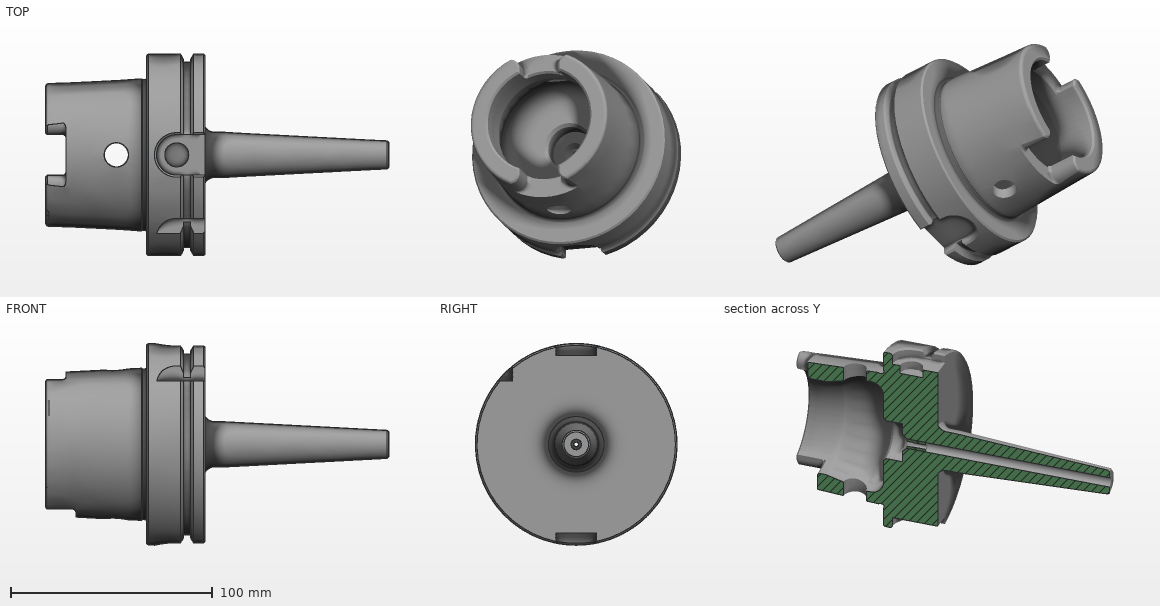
import cadquery as cq
import math


flange_radius = 50.0
flange_length = 29.0
flange_chamfer = 0.8

groove_center = 20.0
groove_floor_radius = 45.9
groove_floor_half_width = 1.78
groove_mouth_half_width = 3.32
groove_flank_angle = 60.0

taper_length = 50.0
taper_tip_radius = 35.4
taper_slope = 1 / 20
tip_fillet = 1.7

relief_start = -2.5
relief_lead = 0.5
relief_depth = 0.3
relief_recess = 0.3
relief_recess_radius = 39.8
relief_fillet = 1.4

neck_radius = 11.2
neck_root_radius = 5.5
neck_root_rise = 2.5
neck_straight_end = 38.8
neck_tip_radius = 7.0
neck_tip_chamfer = 0.8
total_length = 170.0
neck_tip = total_length - taper_length

bore_radius = 26.5
bore_chamfer = 1.0
bore_straight_length = 19.5
clamping_radius = 31.5
clamping_bevel_length = 20.4
bore_floor = 0.0
bore_floor_fillet = 6.6

seat_radius = 10.7
seat_chamfer = 1.5
seat_depth = 10.0
funnel_radius = 5.0
central_radius = 2.5
funnel_length = funnel_radius - central_radius
central_start = bore_floor + seat_depth + funnel_length

drive_slot_width = 20.0
top_drive_slot_depth = 10.0
bottom_drive_slot_depth = 15.0
drive_slot_wall_top = 27.2
drive_slot_flare = 5.0
drive_slot_corner_fillet = 1.5
drive_slot_edge_chamfer = 0.8

cross_hole_radius = 6.0
cross_hole_x = -15.0

keyway_width = 20.0
keyway_x = 15.0
keyway_floor = 44.0
keyway_chamfer = 1.0
chip_hole_radius = 6.0
chip_hole_depth = 4.5

notch_wall = 31.5
notch_cutter_radius = 10.0
notch_x = 14.8

groove_flat_distance = 45.7
groove_flat_direction = 135.0

screw_length = 10.2
screw_bore_radius = 1.1
screw_socket_width = 2.5
screw_socket_depth = 3.4

clearance = 68.0


def make_revolved_body():
    """Taper, flange and neck turned in one profile, with the cavity left solid."""
    relief_radius = taper_tip_radius + (taper_length + relief_start) * taper_slope
    relief_floor = relief_radius - relief_depth
    flank_drop = (groove_mouth_half_width - groove_floor_half_width) * math.tan(
        math.radians(groove_flank_angle)
    )
    flank_end_radius = flange_radius - flank_drop
    root_run = math.sqrt(neck_root_radius**2 - (neck_root_radius - neck_root_rise) ** 2)
    root_half_angle = math.asin(root_run / neck_root_radius) / 2
    root_end = flange_length + root_run
    root_middle = (
        root_end - neck_root_radius * math.sin(root_half_angle),
        neck_radius + neck_root_radius * (1 - math.cos(root_half_angle)),
    )
    profile = (
        cq.Workplane("XZ")
        .moveTo(-taper_length, 0)
        .lineTo(-taper_length, taper_tip_radius)
        .lineTo(relief_start, relief_radius)
        .lineTo(relief_start + relief_lead, relief_floor)
        .lineTo(relief_recess - relief_fillet, relief_floor)
        .radiusArc((relief_recess, relief_floor + relief_fillet), -relief_fillet)
        .lineTo(0, relief_recess_radius)
        .lineTo(0, flange_radius - flange_chamfer)
        .lineTo(flange_chamfer, flange_radius)
        .lineTo(groove_center - groove_mouth_half_width, flange_radius)
        .lineTo(groove_center - groove_floor_half_width, flank_end_radius)
        .lineTo(groove_center - groove_floor_half_width, groove_floor_radius)
        .lineTo(groove_center + groove_floor_half_width, groove_floor_radius)
        .lineTo(groove_center + groove_floor_half_width, flank_end_radius)
        .lineTo(groove_center + groove_mouth_half_width, flange_radius)
        .lineTo(flange_length - flange_chamfer, flange_radius)
        .lineTo(flange_length, flange_radius - flange_chamfer)
        .lineTo(flange_length, neck_radius + neck_root_rise)
        .threePointArc(root_middle, (root_end, neck_radius))
        .lineTo(neck_straight_end, neck_radius)
        .lineTo(neck_tip - neck_tip_chamfer, neck_tip_radius)
        .lineTo(neck_tip, neck_tip_radius - neck_tip_chamfer)
        .lineTo(neck_tip, 0)
        .close()
    )
    body = profile.revolve(360, (0, 0, 0), (1, 0, 0))
    return body.faces("<X").edges().fillet(tip_fillet)


def make_cavity():
    """Stepped bore from the taper's open end to the neck's tip."""
    seat_floor = bore_floor + seat_depth
    bevel_start = -taper_length + bore_straight_length
    fillet_center = (bore_floor - bore_floor_fillet, clamping_radius - bore_floor_fillet)
    fillet_middle = (
        fillet_center[0] + bore_floor_fillet * math.sqrt(0.5),
        fillet_center[1] + bore_floor_fillet * math.sqrt(0.5),
    )
    return (
        cq.Workplane("XZ")
        .moveTo(-taper_length, 0)
        .lineTo(-taper_length, bore_radius + bore_chamfer)
        .lineTo(-taper_length + bore_chamfer, bore_radius)
        .lineTo(bevel_start, bore_radius)
        .lineTo(bevel_start + clamping_bevel_length, clamping_radius)
        .lineTo(fillet_center[0], clamping_radius)
        .threePointArc(fillet_middle, (bore_floor, fillet_center[1]))
        .lineTo(bore_floor, seat_radius + seat_chamfer)
        .lineTo(bore_floor + seat_chamfer, seat_radius)
        .lineTo(seat_floor, seat_radius)
        .lineTo(seat_floor, funnel_radius)
        .lineTo(central_start, central_radius)
        .lineTo(neck_tip, central_radius)
        .lineTo(neck_tip, 0)
        .close()
        .revolve(360, (0, 0, 0), (1, 0, 0))
    )


def make_slot_outline(x, widening):
    """Wire of the drive slot at a given x, with walls that flare outward at the top."""
    half_width = drive_slot_width / 2 + widening
    flare_y = drive_slot_width / 2 + drive_slot_flare
    flare_z = drive_slot_wall_top + drive_slot_flare - widening
    flare_radius = drive_slot_flare - widening
    arc_shift = flare_radius * (1 - math.sqrt(0.5))
    arc_y = half_width + arc_shift
    arc_z = flare_z - arc_shift
    return (
        cq.Workplane("YZ", origin=(x, 0, 0))
        .moveTo(-half_width, 0)
        .lineTo(-half_width, drive_slot_wall_top)
        .threePointArc((-arc_y, arc_z), (-flare_y, flare_z))
        .lineTo(-clearance, flare_z)
        .lineTo(-clearance, clearance)
        .lineTo(clearance, clearance)
        .lineTo(clearance, flare_z)
        .lineTo(flare_y, flare_z)
        .threePointArc((arc_y, arc_z), (half_width, drive_slot_wall_top))
        .lineTo(half_width, 0)
        .close()
    )


def make_drive_slot(depth):
    """Slot cutter for the top of the taper's end, with a bevelled mouth and filleted floor."""
    slot_floor = depth - taper_length
    slot = make_slot_outline(-taper_length, 0).extrude(depth)
    slot = slot.faces(">X").edges("not <Z").fillet(drive_slot_corner_fillet)
    mouth = cq.Workplane(
        cq.Solid.makeLoft(
            [
                make_slot_outline(-taper_length, drive_slot_edge_chamfer).val(),
                make_slot_outline(-taper_length + drive_slot_edge_chamfer, 0).val(),
            ],
            True,
        )
    )
    floor_bevel = cq.Workplane(
        cq.Solid.makeCone(
            bore_radius + bore_chamfer,
            bore_radius,
            bore_chamfer,
            cq.Vector(slot_floor, 0, 0),
            cq.Vector(1, 0, 0),
        )
    ).intersect(
        cq.Workplane("XY", origin=(slot_floor, 0, 0)).rect(clearance, drive_slot_width).extrude(clearance)
    )
    return slot.union(mouth).union(floor_bevel)


def make_keyway():
    """Material removed from the top of the flange by the chamfered, round-ended keyway."""
    floor_plane = cq.Workplane("XY", origin=(keyway_x, 0, keyway_floor))
    straight_run = (
        floor_plane.center(clearance / 2, 0).rect(clearance, keyway_width).extrude(clearance)
    )
    channel = floor_plane.circle(keyway_width / 2).extrude(clearance).union(straight_run)
    disc = cq.Workplane("YZ").circle(flange_radius).extrude(flange_length)
    rim_height = math.sqrt(flange_radius**2 - (keyway_width / 2) ** 2)
    rim = cq.selectors.BoxSelector(
        (0, -keyway_width, rim_height - keyway_chamfer),
        (flange_length - keyway_chamfer, keyway_width, flange_radius + keyway_chamfer),
    )
    keyed_disc = disc.cut(channel).edges(rim).chamfer(keyway_chamfer)
    return disc.cut(keyed_disc)


def make_chip_hole():
    return (
        cq.Workplane("XY", origin=(keyway_x, 0, keyway_floor))
        .circle(chip_hole_radius)
        .extrude(-chip_hole_depth)
    )


def make_groove_flat():
    """Cutter that levels the groove floor on both sides of the notch."""
    width = 2 * groove_floor_half_width
    return (
        cq.Workplane("XY", origin=(groove_center, 0, groove_flat_distance))
        .rect(width, groove_floor_radius)
        .extrude(groove_floor_radius - groove_flat_distance)
        .rotate((0, 0, 0), (1, 0, 0), groove_flat_direction - 90)
    )


def make_notch():
    """Corner cutter with one wall, one floor and a round end."""
    return (
        cq.Workplane("XY", origin=(0, 0, notch_wall))
        .moveTo(notch_x, -notch_wall)
        .lineTo(clearance, -notch_wall)
        .lineTo(clearance, -notch_wall - clearance)
        .lineTo(notch_x - notch_cutter_radius, -notch_wall - clearance)
        .lineTo(notch_x - notch_cutter_radius, -notch_wall - notch_cutter_radius)
        .radiusArc((notch_x, -notch_wall), notch_cutter_radius)
        .close()
        .extrude(clearance)
    )


def turn_to_bottom(cutter):
    return cutter.rotate((0, 0, 0), (1, 0, 0), 180)


def make_holder():
    cross_hole = (
        cq.Workplane("XY", origin=(cross_hole_x, 0, 0))
        .circle(cross_hole_radius)
        .extrude(clearance, both=True)
    )
    return (
        make_revolved_body()
        .cut(make_cavity())
        .cut(make_drive_slot(top_drive_slot_depth))
        .cut(turn_to_bottom(make_drive_slot(bottom_drive_slot_depth)))
        .cut(cross_hole)
        .cut(make_keyway())
        .cut(turn_to_bottom(make_keyway()))
        .cut(make_chip_hole())
        .cut(make_groove_flat())
        .cut(make_notch())
    )


def make_set_screw():
    socket_diameter = screw_socket_width / math.cos(math.radians(30))
    head = cq.Workplane("YZ", origin=(central_start, 0, 0))
    return (
        head.circle(central_radius)
        .circle(screw_bore_radius)
        .extrude(screw_length)
        .cut(head.polygon(6, socket_diameter).extrude(screw_socket_depth))
    )


holder = make_holder()
set_screw = make_set_screw()
result = cq.Compound.makeCompound([holder.val(), set_screw.val()])